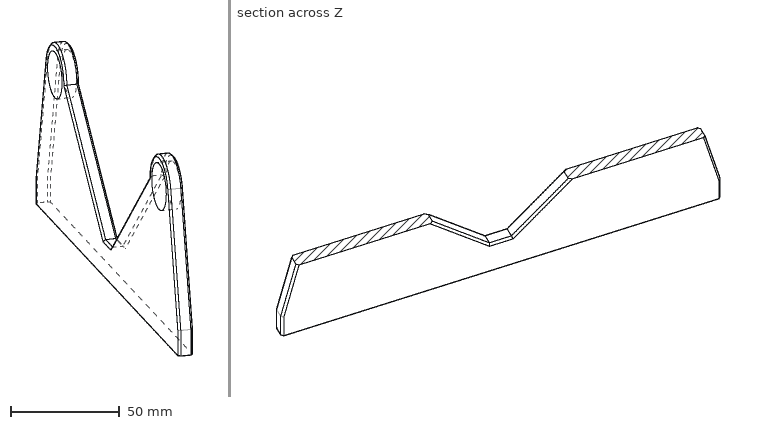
import cadquery as cq
import math

length = 220.0
thickness = 7.0
height = 87.5
shoulder_height = 12.5
eye_radius = 15.0
eye_offset = 80.0
hole_diameter = 22.2
valley_height = 17.5
valley_half_width = 5.5
edge_chamfer = 1.0

half_length = length / 2
eye_height = height - eye_radius

run = half_length - eye_offset
rise = eye_height - shoulder_height
shoulder_to_eye = math.hypot(run, rise)
tangent_angle = math.atan2(-rise, run) + math.acos(eye_radius / shoulder_to_eye)
tangent_x = eye_offset + eye_radius * math.cos(tangent_angle)
tangent_z = eye_height + eye_radius * math.sin(tangent_angle)
inner_x = eye_offset - eye_radius


def make_plate():
    """Symmetrical plate with two lugs and a flat-bottomed V between them."""
    return (
        cq.Workplane("XZ", origin=(0, thickness / 2, 0))
        .moveTo(-half_length, 0)
        .lineTo(-half_length, shoulder_height)
        .lineTo(-tangent_x, tangent_z)
        .threePointArc((-eye_offset, height), (-inner_x, eye_height))
        .lineTo(-valley_half_width, valley_height)
        .lineTo(valley_half_width, valley_height)
        .lineTo(inner_x, eye_height)
        .threePointArc((eye_offset, height), (tangent_x, tangent_z))
        .lineTo(half_length, shoulder_height)
        .lineTo(half_length, 0)
        .close()
        .extrude(thickness)
    )


def chamfer_outline(plate):
    """Bevel both faces all around the outline except along the base."""
    base_edges = cq.selectors.BoxSelector(
        (-length, -thickness, -edge_chamfer),
        (length, thickness, edge_chamfer),
    )
    face_edges = plate.faces("<Y or >Y").edges()
    return face_edges.edges(cq.selectors.InverseSelector(base_edges)).chamfer(edge_chamfer)


def cut_holes(plate):
    """Bore the plain through hole of each lug."""
    holes = (
        cq.Workplane("XZ", origin=(0, thickness / 2, 0))
        .pushPoints([(side * eye_offset, eye_height) for side in (-1, 1)])
        .circle(hole_diameter / 2)
        .extrude(thickness)
    )
    return plate.cut(holes)


result = cut_holes(chamfer_outline(make_plate()))